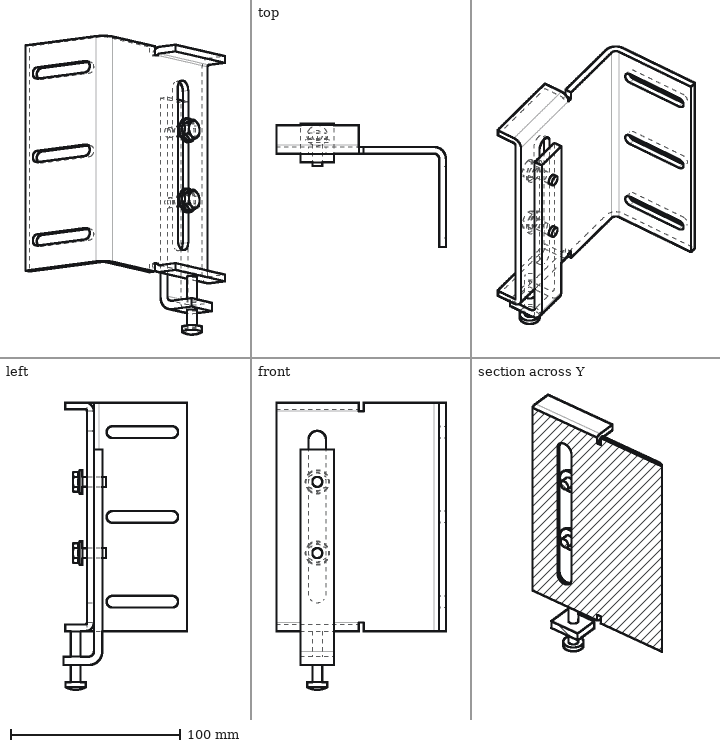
import cadquery as cq
import math

BRACKET_WIDTH = 100.0
BRACKET_HEIGHT = 135.0
SHEET = 4.0
LEG_FRONT_Y = -55.1
LEG_INNER_RADIUS = 3.0
TAB_BACK_Y = 17.0
TAB_WIDTH = 48.7
TAB_INNER_RADIUS = 1.0
NOTCH_WIDTH = 2.7
TAB_OUTER_RADIUS = SHEET + TAB_INNER_RADIUS
LEG_OUTER_RADIUS = SHEET + LEG_INNER_RADIUS

LEG_SLOT_LENGTH = 42.0
LEG_SLOT_WIDTH = 6.8
LEG_SLOT_CENTER_Y = -28.7
LEG_SLOT_SPACING = 50.0

GUIDE_SLOT_LENGTH = 101.4
GUIDE_SLOT_WIDTH = 10.2

ARM_X = 24.0

ARM_WIDTH = 20.0
ARM_THICKNESS = 5.1
ARM_TOP_Z = 107.3
ARM_BOTTOM_Z = -20.0
FOOT_BACK_Y = 18.0
ARM_INNER_RADIUS = 3.0

SHANK_DIAMETER = 6.0
JACK_Y = 10.7
JACK_HEAD_DIAMETER = 12.0
JACK_HEAD_TOP_Z = -30.0
JACK_RIM_HEIGHT = 2.9
JACK_BOTTOM_Z = -34.6

BOLT_TIP_Y = -7.3
BOLT_SEAT_Y = 6.8
BOLT_HEAD_END_Y = 12.4
FLANGE_DIAMETER = 14.2
FLANGE_RIM = 1.0
FLANGE_EDGE_RADIUS = 0.5
FLANGE_HEIGHT = 2.5
HEX_CORNER_DIAMETER = 11.9
HEX_CHAMFER = 0.5
BOLT_SPACING = 42.0
BOLT_LOWER_Z = 46.1
BOLT_HEIGHTS = [BOLT_LOWER_Z, BOLT_LOWER_Z + BOLT_SPACING]


def make_bracket():
    bracket = (
        cq.Workplane("XY")
        .moveTo(0, 0)
        .lineTo(0, SHEET)
        .lineTo(BRACKET_WIDTH, SHEET)
        .lineTo(BRACKET_WIDTH, LEG_FRONT_Y)
        .lineTo(BRACKET_WIDTH - SHEET, LEG_FRONT_Y)
        .lineTo(BRACKET_WIDTH - SHEET, 0)
        .close()
        .extrude(BRACKET_HEIGHT)
    )
    outer_corner = cq.selectors.NearestToPointSelector((BRACKET_WIDTH, SHEET, BRACKET_HEIGHT / 2))
    bracket = bracket.edges(outer_corner).fillet(LEG_OUTER_RADIUS)
    inner_corner = cq.selectors.NearestToPointSelector((BRACKET_WIDTH - SHEET, 0, BRACKET_HEIGHT / 2))
    bracket = bracket.edges(inner_corner).fillet(LEG_INNER_RADIUS)

    for z in (0, BRACKET_HEIGHT - TAB_OUTER_RADIUS):
        clearance = cq.Workplane("XY").box(
            TAB_WIDTH + NOTCH_WIDTH, SHEET, TAB_OUTER_RADIUS, centered=False
        )
        bracket = bracket.cut(clearance.translate((0, 0, z)))
    lower_tab = make_tab()
    upper_tab = lower_tab.mirror("XY").translate((0, 0, BRACKET_HEIGHT))
    bracket = bracket.union(lower_tab).union(upper_tab)

    for step in (-1, 0, 1):
        leg_slot = (
            cq.Workplane("YZ")
            .center(LEG_SLOT_CENTER_Y, BRACKET_HEIGHT / 2 + step * LEG_SLOT_SPACING)
            .slot2D(LEG_SLOT_LENGTH, LEG_SLOT_WIDTH)
            .extrude(SHEET)
            .translate((BRACKET_WIDTH - SHEET, 0, 0))
        )
        bracket = bracket.cut(leg_slot)

    guide_slot = (
        cq.Workplane("XZ")
        .center(ARM_X, BRACKET_HEIGHT / 2)
        .slot2D(GUIDE_SLOT_LENGTH, GUIDE_SLOT_WIDTH, 90)
        .extrude(-SHEET)
    )
    return bracket.cut(guide_slot)


def bent_strip(front_y, back_y, bottom_z, top_z, thickness, inner_radius, width):
    """L section in the YZ plane: upright at the front, foot to the back, bent at a radius."""
    outer_radius = inner_radius + thickness
    diagonal = math.sqrt(0.5)
    center_y = front_y + outer_radius
    center_z = bottom_z + outer_radius
    return (
        cq.Workplane("YZ")
        .moveTo(front_y, top_z)
        .lineTo(front_y, center_z)
        .threePointArc(
            (center_y - outer_radius * diagonal, center_z - outer_radius * diagonal),
            (center_y, bottom_z),
        )
        .lineTo(back_y, bottom_z)
        .lineTo(back_y, bottom_z + thickness)
        .lineTo(center_y, bottom_z + thickness)
        .threePointArc(
            (center_y - inner_radius * diagonal, center_z - inner_radius * diagonal),
            (front_y + thickness, center_z),
        )
        .lineTo(front_y + thickness, top_z)
        .close()
        .extrude(width)
    )


def make_tab():
    return bent_strip(0, TAB_BACK_Y, 0, 2 * TAB_OUTER_RADIUS, SHEET, TAB_INNER_RADIUS, TAB_WIDTH)


def make_jack_screw():
    rim_bottom_z = JACK_HEAD_TOP_Z - JACK_RIM_HEIGHT
    head_radius = JACK_HEAD_DIAMETER / 2
    dome_height = rim_bottom_z - JACK_BOTTOM_Z
    sphere_radius = (head_radius**2 + dome_height**2) / (2 * dome_height)
    half_angle = math.asin(head_radius / sphere_radius) / 2
    dome_middle = (
        sphere_radius * math.sin(half_angle),
        JACK_BOTTOM_Z + sphere_radius * (1 - math.cos(half_angle)),
    )
    return (
        cq.Workplane("XZ")
        .moveTo(0, 0)
        .lineTo(SHANK_DIAMETER / 2, 0)
        .lineTo(SHANK_DIAMETER / 2, JACK_HEAD_TOP_Z)
        .lineTo(head_radius, JACK_HEAD_TOP_Z)
        .lineTo(head_radius, rim_bottom_z)
        .threePointArc(dome_middle, (0, JACK_BOTTOM_Z))
        .close()
        .revolve(360, (0, 0, 0), (0, 1, 0))
        .translate((ARM_X, JACK_Y, 0))
    )


def make_arm():
    arm = bent_strip(
        -ARM_THICKNESS, FOOT_BACK_Y, ARM_BOTTOM_Z, ARM_TOP_Z, ARM_THICKNESS, ARM_INNER_RADIUS, ARM_WIDTH
    )
    arm = arm.translate((ARM_X - ARM_WIDTH / 2, 0, 0)).union(make_jack_screw())
    for z in BOLT_HEIGHTS:
        bolt_hole = (
            cq.Workplane("XZ").center(ARM_X, z).circle(SHANK_DIAMETER / 2).extrude(ARM_THICKNESS)
        )
        arm = arm.cut(bolt_hole)
    return arm


def make_bolt(z):
    seat = BOLT_SEAT_Y - BOLT_TIP_Y
    head_end = BOLT_HEAD_END_Y - BOLT_TIP_Y
    flange_radius = FLANGE_DIAMETER / 2
    hex_radius = HEX_CORNER_DIAMETER / 2
    hex_flat_radius = hex_radius * math.cos(math.pi / 6)
    edge_end = (flange_radius - FLANGE_EDGE_RADIUS, seat + FLANGE_RIM + FLANGE_EDGE_RADIUS)
    shank_and_flange = (
        cq.Workplane("XZ")
        .moveTo(0, 0)
        .lineTo(SHANK_DIAMETER / 2, 0)
        .lineTo(SHANK_DIAMETER / 2, seat)
        .lineTo(flange_radius, seat)
        .lineTo(flange_radius, seat + FLANGE_RIM)
        .radiusArc(edge_end, -FLANGE_EDGE_RADIUS)
        .lineTo(hex_flat_radius, seat + FLANGE_HEIGHT)
        .lineTo(0, seat + FLANGE_HEIGHT)
        .close()
        .revolve(360, (0, 0, 0), (0, 1, 0))
    )
    hexagon = (
        cq.Workplane("XY")
        .workplane(offset=seat)
        .transformed(rotate=(0, 0, 90))
        .polygon(6, HEX_CORNER_DIAMETER)
        .extrude(head_end - seat)
    )
    corner_trim = (
        cq.Workplane("XY")
        .circle(hex_radius)
        .extrude(head_end)
        .faces(">Z")
        .chamfer(HEX_CHAMFER, hex_radius - hex_flat_radius)
    )
    bolt = shank_and_flange.union(hexagon.intersect(corner_trim))
    return bolt.rotate((0, 0, 0), (1, 0, 0), -90).translate((ARM_X, BOLT_TIP_Y, z))


bracket = make_bracket()
arm = make_arm()
bolts = [make_bolt(z) for z in BOLT_HEIGHTS]
result = cq.Compound.makeCompound([bracket.val(), arm.val(), *[bolt.val() for bolt in bolts]])